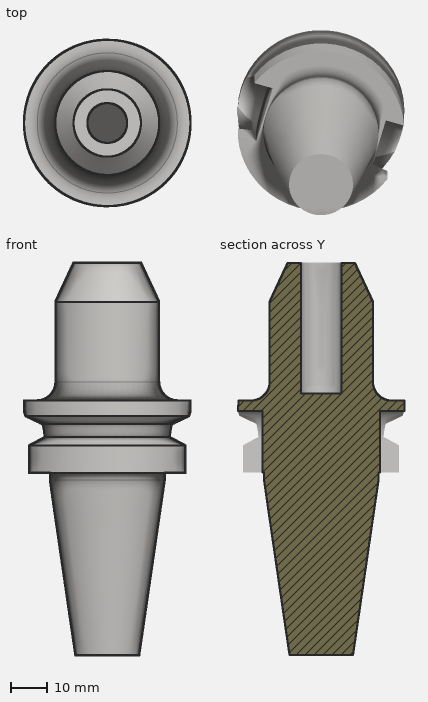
import cadquery as cq
import math


gauge_diameter = 31.75
taper_length = 48.4
taper_ratio = 7 / 24

flange_radius = 23.0
flange_bottom = 2.0
flange_top = 22.0
groove_floor_radius = 19.05
groove_center = 13.6
groove_mouth_width = 8.15
groove_flank_angle = 30.0

slot_width = 16.1
slot_floor_distance = 16.3
slot_crown = 19.0
cutter_overrun = 1.0

nose_top = 60.0
nose_radius = 14.35
nose_fillet = 5.0
nose_tip_radius = 9.3
nose_cone_angle = 25.0
bore_diameter = 11.0
bore_depth = 36.0


def make_body():
    """Revolve the outer profile of shank, flange and nose."""
    gauge_radius = gauge_diameter / 2
    shank_end_radius = gauge_radius - taper_length * taper_ratio / 2
    flank_height = (flange_radius - groove_floor_radius) * math.tan(math.radians(groove_flank_angle))
    mouth_bottom = groove_center - groove_mouth_width / 2
    mouth_top = groove_center + groove_mouth_width / 2
    cone_height = (nose_radius - nose_tip_radius) / math.tan(math.radians(nose_cone_angle))
    profile = (
        cq.Workplane("XZ")
        .moveTo(0, -taper_length)
        .lineTo(shank_end_radius, -taper_length)
        .lineTo(gauge_radius, 0)
        .lineTo(gauge_radius, flange_bottom)
        .lineTo(flange_radius, flange_bottom)
        .lineTo(flange_radius, mouth_bottom)
        .lineTo(groove_floor_radius, mouth_bottom + flank_height)
        .lineTo(groove_floor_radius, mouth_top - flank_height)
        .lineTo(flange_radius, mouth_top)
        .lineTo(flange_radius, flange_top)
        .lineTo(nose_radius + nose_fillet, flange_top)
        .radiusArc((nose_radius, flange_top + nose_fillet), nose_fillet)
        .lineTo(nose_radius, nose_top - cone_height)
        .lineTo(nose_tip_radius, nose_top)
        .lineTo(0, nose_top)
        .close()
    )
    return profile.revolve(360, (0, 0, 0), (0, 1, 0))


def make_drive_slot(side):
    """Round-topped slot cutter on the +X (side = 1) or -X (side = -1) flank of the flange."""
    half_width = slot_width / 2
    cut_length = flange_radius - slot_floor_distance + cutter_overrun
    arc_center = slot_crown - half_width
    return (
        cq.Workplane("YZ", origin=(side * slot_floor_distance, 0, 0))
        .moveTo(-half_width, flange_bottom)
        .lineTo(half_width, flange_bottom)
        .lineTo(half_width, arc_center)
        .threePointArc((0, slot_crown), (-half_width, arc_center))
        .close()
        .extrude(side * cut_length)
    )


def make_bore():
    """Blind tool bore entering from the nose end."""
    return cq.Workplane("XY", origin=(0, 0, nose_top)).circle(bore_diameter / 2).extrude(-bore_depth)


result = make_body()
for side in (-1, 1):
    result = result.cut(make_drive_slot(side))
result = result.cut(make_bore())